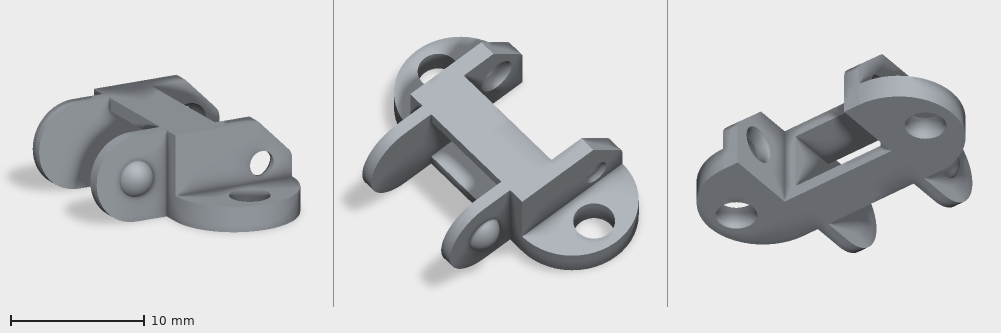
import cadquery as cq

overall_length = 22.8
height = 6.8
ear_radius = 5.0
ear_thickness = 2.0
ear_hole_diameter = 3.15
plate_thickness = 1.0
arm_outer_x = 5.02
crossbar_width = 4.13
arm_straight_length = 2.6
ball_radius = 1.5
socket_setback = 2.6
socket_center_inset = 0.2
socket_hole_diameter = 2.0
chamfer_size = 2.9
corner_radius = 1.0

wall_outer_x = overall_length / 2 - ear_radius
wall_thickness = wall_outer_x - arm_outer_x
ear_hole_x = wall_outer_x + ear_radius / 2
arm_inner_x = arm_outer_x - plate_thickness
ball_center_x = arm_outer_x - plate_thickness / 2
socket_center_x = arm_outer_x - socket_center_inset
mid_height = height / 2
front_y = -ear_radius
rear_y = ear_radius
pivot_y = front_y - arm_straight_length
socket_y = rear_y - socket_setback


def box(x_min, x_max, y_min, y_max, z_min, z_max):
    """Box between opposite corners."""
    size = (x_max - x_min, y_max - y_min, z_max - z_min)
    return cq.Workplane("XY").box(*size, centered=False).translate((x_min, y_min, z_min))


def ball(x, y):
    """Sphere at mid height with its poles along X."""
    return cq.Workplane("YZ").sphere(ball_radius).translate((x, y, mid_height))


def make_ear():
    """Half-round mounting ear with a vertical screw hole."""
    half_disc = (
        cq.Workplane("XY")
        .moveTo(wall_outer_x, front_y)
        .threePointArc((overall_length / 2, 0), (wall_outer_x, rear_y))
        .close()
        .extrude(ear_thickness)
    )
    hole = cq.Workplane("XY").center(ear_hole_x, 0).circle(ear_hole_diameter / 2).extrude(ear_thickness)
    return half_disc.cut(hole)


def make_wall():
    """Side wall with a sloped rear top corner and a ball socket open to the outside."""
    wall = (
        cq.Workplane("YZ", origin=(arm_outer_x, 0, 0))
        .moveTo(front_y, 0)
        .lineTo(rear_y, 0)
        .lineTo(rear_y, height - chamfer_size)
        .lineTo(rear_y - chamfer_size, height)
        .lineTo(front_y, height)
        .close()
        .extrude(wall_thickness)
    )
    lower_slope_edge = cq.selectors.NearestToPointSelector(
        (arm_outer_x + wall_thickness / 2, rear_y, height - chamfer_size)
    )
    wall = wall.edges(lower_slope_edge).fillet(corner_radius)
    hole = (
        cq.Workplane("YZ", origin=(arm_outer_x, socket_y, mid_height))
        .circle(socket_hole_diameter / 2)
        .extrude(wall_thickness)
    )
    return wall.cut(hole).cut(ball(socket_center_x, socket_y))


def make_arm():
    """Round-ended arm with a ball cap on its outer face."""
    rear_end_y = front_y + crossbar_width
    arm = box(arm_inner_x, arm_outer_x, pivot_y, rear_end_y, 0, height)
    round_end = (
        cq.Workplane("YZ", origin=(arm_inner_x, pivot_y, mid_height))
        .circle(mid_height)
        .extrude(plate_thickness)
    )
    ball_space = box(
        ball_center_x, ball_center_x + ball_radius,
        pivot_y - ball_radius, pivot_y + ball_radius,
        0, height,
    )
    return arm.union(round_end).union(ball(ball_center_x, pivot_y).intersect(ball_space))


def make_crossbar(z_min):
    """Flat bar joining both sides."""
    return box(
        -arm_outer_x, arm_outer_x,
        front_y, front_y + crossbar_width,
        z_min, z_min + plate_thickness,
    )


side = make_wall().union(make_ear()).union(make_arm())
result = side.union(side.mirror("YZ"))
for bar_bottom in (0, height - plate_thickness):
    result = result.union(make_crossbar(bar_bottom))